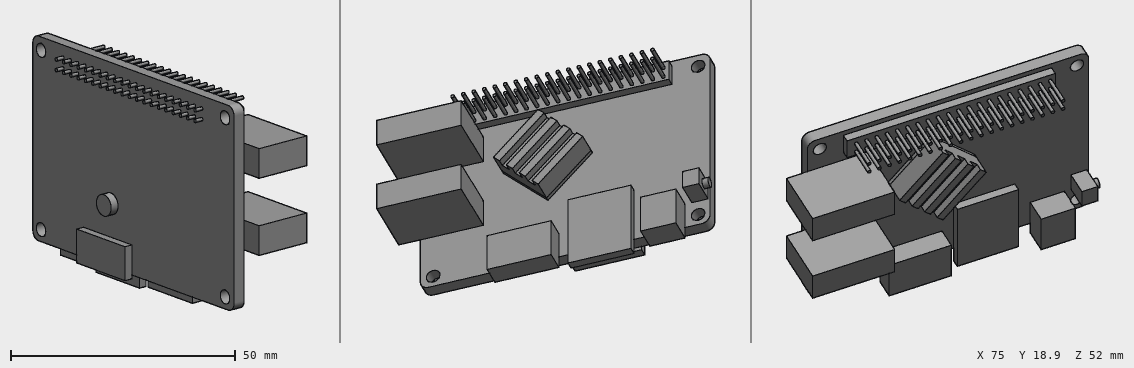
import cadquery as cq


BOARD_WIDTH = 68.9
BOARD_HEIGHT = 48.0
BOARD_THICKNESS = 3.0
CORNER_RADIUS = 2.0
HOLE_DIAMETER = 3.2
LOWER_LEFT_HOLE_INSET = 2.85
HOLE_SPACING_X = 63.0
HOLE_SPACING_Z = 42.0

PIN_COLUMNS = 20
PIN_ROWS = 2
PIN_PITCH = 7.5 / 3
PIN_DIAMETER = 0.8
FIRST_PIN_X = 10.35
TOP_PIN_Z = 45.0
PIN_LENGTH_ABOVE = 9.0
PIN_LENGTH_BELOW = 1.95
HEADER_X = 9.1
HEADER_Z = 41.5
HEADER_WIDTH = 51.0
HEADER_HEIGHT = 5.25
HEADER_THICKNESS = 1.95

SOCKET_LENGTH = 20.1
SOCKET_HEIGHT = 7.0
SOCKET_DEPTH = 13.95
SOCKET_OVERHANG = 5.1
SOCKET_BOTTOMS = (13.95, 32.0)

JACK_X = 0.45
JACK_Z = 6.6
JACK_WIDTH = 3.9
JACK_HEIGHT = 4.5
JACK_DEPTH = 5.85
NOSE_DIAMETER = 2.3
NOSE_LENGTH = 1.4
NOSE_ABOVE_BOARD = 2.8

PORT_OVERHANG = 3.0
POWER_PORT_X = 5.9
POWER_PORT_WIDTH = 8.4
POWER_PORT_DEPTH = 5.85
VIDEO_PORT_X = 35.9
VIDEO_PORT_WIDTH = 15.2
VIDEO_PORT_DEPTH = 4.95

CARD_X = 18.1
CARD_WIDTH = 15.0
CARD_THICKNESS = 1.95
CARD_OVERHANG = 4.0

REAR_DEPTH = 2.0
REAR_BLOCK_X = 17.4
REAR_BLOCK_WIDTH = 16.6
REAR_BLOCK_HEIGHT = 7.95
REAR_BLOCK_OVERHANG = 0.9
BUTTON_X = 26.7
BUTTON_Z = 14.9
BUTTON_DIAMETER = 5.0

CHIP_X = 38.55
CHIP_Z = 27.4
CHIP_SIDE = 15.0
CHIP_TURN = 45
CHIP_THICKNESS = 0.9
HEAT_SINK_HEIGHT = 5.3
GROOVE_COUNT = 3
GROOVE_DEPTH = 1.8
FIN_WIDTH = 2.0
GROOVE_WIDTH = (CHIP_SIDE - (GROOVE_COUNT + 1) * FIN_WIDTH) / GROOVE_COUNT


def block(x, y, z, width, depth, height):
    """Box with its lowest corner at (x, y, z)."""
    return cq.Workplane("XY").box(width, depth, height, centered=False).translate((x, y, z))


def on_board(x, z, width, height, depth):
    """Box that stands on the component face of the board."""
    return block(x, BOARD_THICKNESS, z, width, depth, height)


def rod_along_y(x, z, diameter, y_start, y_end):
    """Round rod from y_start to y_end."""
    profile = cq.Workplane("XZ", origin=(x, y_end, z)).circle(diameter / 2)
    return profile.extrude(y_end - y_start)


def bare_board():
    board = block(0, 0, 0, BOARD_WIDTH, BOARD_THICKNESS, BOARD_HEIGHT)
    board = board.edges("|Y").fillet(CORNER_RADIUS)
    for x in (LOWER_LEFT_HOLE_INSET, LOWER_LEFT_HOLE_INSET + HOLE_SPACING_X):
        for z in (LOWER_LEFT_HOLE_INSET, LOWER_LEFT_HOLE_INSET + HOLE_SPACING_Z):
            board = board.cut(rod_along_y(x, z, HOLE_DIAMETER, 0, BOARD_THICKNESS))
    return board


def pin_header():
    header = on_board(HEADER_X, HEADER_Z, HEADER_WIDTH, HEADER_HEIGHT, HEADER_THICKNESS)
    parts = [header]
    pin_tip = BOARD_THICKNESS + PIN_LENGTH_ABOVE
    for column in range(PIN_COLUMNS):
        for row in range(PIN_ROWS):
            x = FIRST_PIN_X + column * PIN_PITCH
            z = TOP_PIN_Z - row * PIN_PITCH
            parts.append(rod_along_y(x, z, PIN_DIAMETER, -PIN_LENGTH_BELOW, pin_tip))
    return parts


def edge_sockets():
    x = BOARD_WIDTH + SOCKET_OVERHANG - SOCKET_LENGTH
    return [on_board(x, z, SOCKET_LENGTH, SOCKET_HEIGHT, SOCKET_DEPTH) for z in SOCKET_BOTTOMS]


def audio_jack():
    body = on_board(JACK_X, JACK_Z, JACK_WIDTH, JACK_HEIGHT, JACK_DEPTH)
    nose_center = (JACK_X, BOARD_THICKNESS + NOSE_ABOVE_BOARD, JACK_Z + JACK_HEIGHT / 2)
    nose = cq.Workplane("YZ", origin=nose_center).circle(NOSE_DIAMETER / 2).extrude(-NOSE_LENGTH)
    return [body, nose]


def bottom_ports():
    """Two ports whose tops are level with the bottom of the audio jack."""
    height = JACK_Z + PORT_OVERHANG
    power = on_board(POWER_PORT_X, -PORT_OVERHANG, POWER_PORT_WIDTH, height, POWER_PORT_DEPTH)
    video = on_board(VIDEO_PORT_X, -PORT_OVERHANG, VIDEO_PORT_WIDTH, height, VIDEO_PORT_DEPTH)
    return [power, video]


def card_slot():
    """Flat slot that reaches up to the level of the lower socket."""
    height = min(SOCKET_BOTTOMS) + CARD_OVERHANG
    return on_board(CARD_X, -CARD_OVERHANG, CARD_WIDTH, height, CARD_THICKNESS)


def rear_parts():
    connector = block(
        REAR_BLOCK_X, -REAR_DEPTH, -REAR_BLOCK_OVERHANG, REAR_BLOCK_WIDTH, REAR_DEPTH, REAR_BLOCK_HEIGHT
    )
    button = rod_along_y(BUTTON_X, BUTTON_Z, BUTTON_DIAMETER, -REAR_DEPTH, 0)
    return [connector, button]


def turned_about_chip(shape):
    """Turn a shape about the chip's own axis, which runs along Y."""
    return shape.rotate((CHIP_X, 0, CHIP_Z), (CHIP_X, 1, CHIP_Z), CHIP_TURN)


def chip_outline_block(y, depth):
    """Square block centred on the chip, not yet turned."""
    half_side = CHIP_SIDE / 2
    return block(CHIP_X - half_side, y, CHIP_Z - half_side, CHIP_SIDE, depth, CHIP_SIDE)


def chip():
    return turned_about_chip(chip_outline_block(BOARD_THICKNESS, CHIP_THICKNESS))


def make_heat_sink():
    """Heat sink with open grooves across its outer face."""
    base = BOARD_THICKNESS + CHIP_THICKNESS
    sink = chip_outline_block(base, HEAT_SINK_HEIGHT)
    groove_floor = base + HEAT_SINK_HEIGHT - GROOVE_DEPTH
    groove_x = CHIP_X - CHIP_SIDE / 2
    first_groove_z = CHIP_Z - CHIP_SIDE / 2 + FIN_WIDTH
    for index in range(GROOVE_COUNT):
        groove_z = first_groove_z + index * (FIN_WIDTH + GROOVE_WIDTH)
        groove = block(groove_x, groove_floor, groove_z, CHIP_SIDE, GROOVE_DEPTH, GROOVE_WIDTH)
        sink = sink.cut(groove)
    return turned_about_chip(sink)


def make_circuit_board():
    """Board with every mounted component as one solid."""
    assembly = bare_board()
    components = [chip(), card_slot()]
    components += pin_header() + edge_sockets() + audio_jack() + bottom_ports() + rear_parts()
    for component in components:
        assembly = assembly.union(component)
    return assembly


circuit_board = make_circuit_board()
heat_sink = make_heat_sink()

result = cq.Compound.makeCompound([circuit_board.val(), heat_sink.val()])